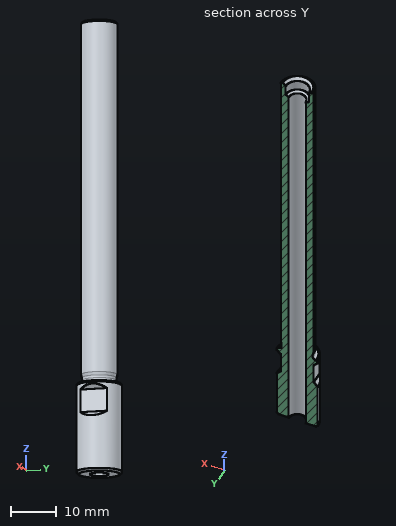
import cadquery as cq
import math

length = 100.0
body_radius = 5.0
tube_radius = 4.0
body_top = 20.0
body_bottom_chamfer = 0.5
body_top_chamfer = 0.4
tube_end_chamfer = 0.4

neck_radius = 3.8
neck_fillet = 0.7
ramp_start = 21.3
tube_start = 22.0

bore_radius = 2.0
counterbore_radius = 2.75
countersink_radius = 3.5
countersink_depth = countersink_radius - counterbore_radius
counterbore_depth = 3.3
counterbore_tip_angle = 118.0

flat_offset = 4.0
flat_bottom = 13.2
flat_height = 5.0


def turned_blank():
    """Revolve the outer half profile; profile X is the radius, profile Y is the height."""
    fillet_mid_offset = neck_fillet * (1 - math.sqrt(0.5))
    profile = (
        cq.Workplane("XZ")
        .lineTo(body_radius - body_bottom_chamfer, 0)
        .lineTo(body_radius, body_bottom_chamfer)
        .lineTo(body_radius, body_top - body_top_chamfer)
        .lineTo(body_radius - body_top_chamfer, body_top)
        .lineTo(neck_radius + neck_fillet, body_top)
        .threePointArc(
            (neck_radius + fillet_mid_offset, body_top + fillet_mid_offset),
            (neck_radius, body_top + neck_fillet),
        )
        .lineTo(neck_radius, ramp_start)
        .lineTo(tube_radius, tube_start)
        .lineTo(tube_radius, length - tube_end_chamfer)
        .lineTo(tube_radius - tube_end_chamfer, length)
        .lineTo(0, length)
        .close()
    )
    return profile.revolve(360, (0, 0, 0), (0, 1, 0))


def passage():
    """Through bore with a cone-bottomed counterbore and a countersink at the top."""
    counterbore_floor = length - counterbore_depth
    tip_drop = (counterbore_radius - bore_radius) / math.tan(math.radians(counterbore_tip_angle / 2))
    profile = (
        cq.Workplane("XZ")
        .lineTo(bore_radius, 0)
        .lineTo(bore_radius, counterbore_floor - tip_drop)
        .lineTo(counterbore_radius, counterbore_floor)
        .lineTo(counterbore_radius, length - countersink_depth)
        .lineTo(countersink_radius, length)
        .lineTo(0, length)
        .close()
    )
    return profile.revolve(360, (0, 0, 0), (0, 1, 0))


def flat_cutter(side):
    """Wrench flat on the given X side (+1 or -1), with ends sloping out at 45 degrees."""
    flat_top = flat_bottom + flat_height
    flat_depth = body_radius - flat_offset
    return (
        cq.Workplane("XZ")
        .moveTo(side * flat_offset, flat_bottom)
        .lineTo(side * body_radius, flat_bottom - flat_depth)
        .lineTo(side * body_radius, flat_top + flat_depth)
        .lineTo(side * flat_offset, flat_top)
        .close()
        .extrude(body_radius, both=True)
    )


result = turned_blank().cut(passage())
for side in (-1, 1):
    result = result.cut(flat_cutter(side))